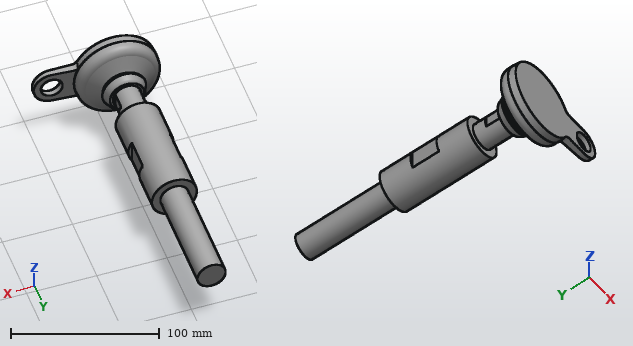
import cadquery as cq
import math

total_length = 203.0

spindle_radius = 20.0 / 2
spindle_flat_start = 30.0
spindle_flat_length = 11.2
spindle_across_flats = 17.0

sleeve_radius = 32.0 / 2
sleeve_start = 51.5
sleeve_length = 75.0
sleeve_flat_length = 22.3
sleeve_flat_start = sleeve_start + (sleeve_length - sleeve_flat_length) / 2
sleeve_across_flats = 27.0

sole_radius = 29.5
rim_radius = 30.0
rim_height = 6.0
dome_radius = 29.8
dome_start = 9.3
shoulder_radius = 24.8
shoulder_height = 15.5
slope_top_radius = 16.8
slope_top_height = 19.7
neck_radius = 14.8
neck_height = 21.0

collar_radius = 15.6
collar_lip_start = 22.1
collar_lip_end = 22.7
collar_upper_radius = 13.8
collar_upper_height = 27.0
collar_top_radius = 12.2
collar_top_height = 28.8

tab_half_width = 12.5
tab_reach = 57.9
tab_hole_diameter = 15.0
tab_center = tab_reach - tab_half_width
tab_end_thickness = 3.9
tab_root_x = 26.4
tab_corner_radius = 5.0


def cylinder_along_y(radius, start, length):
    return cq.Workplane("XZ", origin=(0, start, 0)).circle(radius).extrude(-length)


def cut_side_flats(body, radius, across_flats, start, length):
    """Cut two parallel wrench flats, facing -X and +X."""
    flat_depth = radius - across_flats / 2
    flat_center = (radius + across_flats / 2) / 2
    for side in (-1, 1):
        cutter = cq.Workplane("XY").box(flat_depth, length, 2 * radius)
        body = body.cut(cutter.translate((side * flat_center, start + length / 2, 0)))
    return body


def make_foot_plate():
    """Revolved sole, dome and seal collar."""
    return (
        cq.Workplane("XY")
        .lineTo(sole_radius, 0)
        .lineTo(rim_radius, rim_height)
        .lineTo(dome_radius, rim_height)
        .lineTo(dome_radius, dome_start)
        .tangentArcPoint((shoulder_radius, shoulder_height), relative=False)
        .lineTo(slope_top_radius, slope_top_height)
        .tangentArcPoint((neck_radius, neck_height), relative=False)
        .lineTo(neck_radius, collar_lip_start)
        .lineTo(collar_radius, collar_lip_end)
        .lineTo(collar_upper_radius, collar_upper_height)
        .tangentArcPoint((collar_top_radius, collar_top_height), relative=False)
        .lineTo(0, collar_top_height)
        .close()
        .revolve(360, (0, 0, 0), (0, 1, 0))
    )


def make_tab():
    """Tapered tab whose root corners are arcs tangent to the sole circle."""
    arc_center_z = tab_half_width + tab_corner_radius
    center_distance = sole_radius + tab_corner_radius
    arc_center_x = math.sqrt(center_distance**2 - arc_center_z**2)
    sole_ratio = sole_radius / center_distance
    root_x = arc_center_x * sole_ratio
    root_z = arc_center_z * sole_ratio
    outline = (
        cq.Workplane("XZ")
        .lineTo(root_x, -root_z)
        .radiusArc((arc_center_x, -tab_half_width), tab_corner_radius)
        .lineTo(tab_center, -tab_half_width)
        .threePointArc((tab_reach, 0), (tab_center, tab_half_width))
        .lineTo(arc_center_x, tab_half_width)
        .radiusArc((root_x, root_z), tab_corner_radius)
        .close()
        .extrude(-rim_height)
    )
    side_profile = (
        cq.Workplane("XY")
        .lineTo(tab_reach, 0)
        .lineTo(tab_reach, tab_end_thickness)
        .lineTo(tab_root_x, rim_height)
        .lineTo(0, rim_height)
        .close()
        .extrude(sole_radius, both=True)
    )
    hole = cylinder_along_y(tab_hole_diameter / 2, 0, rim_height).translate((tab_center, 0, 0))
    return outline.intersect(side_profile).cut(hole)


def make_foot_with_spindle():
    spindle = cylinder_along_y(spindle_radius, collar_top_height, total_length - collar_top_height)
    spindle = cut_side_flats(
        spindle, spindle_radius, spindle_across_flats, spindle_flat_start, spindle_flat_length
    )
    return make_foot_plate().union(make_tab()).union(spindle)


def make_sleeve():
    sleeve = cylinder_along_y(sleeve_radius, sleeve_start, sleeve_length)
    sleeve = cut_side_flats(
        sleeve, sleeve_radius, sleeve_across_flats, sleeve_flat_start, sleeve_flat_length
    )
    return sleeve.cut(cylinder_along_y(spindle_radius, sleeve_start, sleeve_length))


foot_with_spindle = make_foot_with_spindle()
sleeve = make_sleeve()
result = cq.Compound.makeCompound([foot_with_spindle.val(), sleeve.val()])